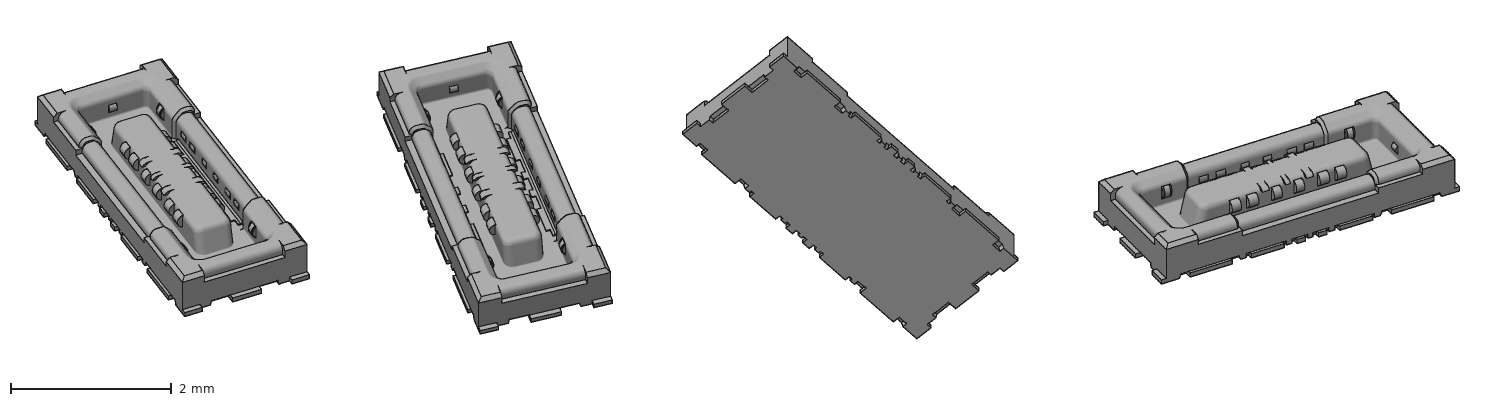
import cadquery as cq
import math

total_length = 4.25
total_width = 1.8
height = 0.55
half_length = 2.055
half_width = 0.863
top_chamfer = 0.05

floor_z = 0.12
wall_x = 1.695
wall_y = 0.49
wall_corner_radius = 0.072
lead_in = 0.12
lead_in_radius = 0.09
floor_fillet = 0.035

shoulder_radius = 0.1
end_ledge_z = 0.395
end_shoulder_x = 1.99
end_shoulder_half_width = 0.555
side_ledge_z = 0.425
side_shoulder_y = 0.8
side_shoulder_x = 1.6

rail_half_length = 0.97
cover_bevel = 0.04
rail_top_z = 0.49
rail_ledge_z = 0.35
rail_outer_y = 0.775
rail_inner_y = wall_y + cover_bevel
rail_inner_radius = 0.115

strip_half_length = 0.92
strip_inner_y = 0.468
strip_slope = 0.025
strip_height = 0.015
foot_inner_y = 0.412
foot_spans = ((0.1, 0.215), (0.435, 0.815))

tongue_top_z = 0.515
tongue_base_x = 1.285
tongue_top_x = 1.19
tongue_y = 0.255
tongue_corner_radius = 0.105
tongue_top_fillet = 0.1
tongue_base_fillet = 0.02

contact_spans = ((0.1, 0.215), (0.438, 0.575), (0.685, 0.815))
contact_z = (0.275, 0.46)
contact_bulge = 0.072
rail_contact_z = (0.265, 0.355)
rail_contact_bulge = 0.013
rib_positions_and_widths = ((-0.315, 0.1), (0, 0.07), (0.315, 0.1))
rib_flat_y = 0.2
rib_tip_y = 0.29
rib_radius = 0.1

side_latch_x = 1.305
side_latch_z = (0.235, 0.415)
side_latch_tiers = ((0.128, 0.04), (0.085, 0.05))
end_latch_half_width = 0.055
end_latch_z = (0.22, 0.335)
end_latch_bulge = 0.03

pad_height = 0.065
pad_inset = 0.128
side_pad_spans = ((0.095, 0.212), (0.395, 0.865), (1.135, 1.74))
end_pad_half_width = 0.2
corner_pad_inner_y = 0.62
side_notch_spans = ((0.035, 0.265), (0.345, 0.915))
notch_depth = 0.065
wedge_depth = 0.035
cover_notch_bottom = (0.995, 1.87)
cover_notch_top = (1.02, 1.845)
end_notch_bottom = 0.47
end_notch_top = 0.46

cut_clearance = 0.042
selection_margin = 0.042
selection_tolerance = 0.0005
contact_embed = 0.02


def arc_sag(radius):
    """Distance along each axis from a quarter round's middle to its two tangent lines."""
    return radius * (1 - math.sqrt(0.5))


def box(x0, x1, y0, y1, z0, z1):
    return cq.Workplane("XY").box(x1 - x0, y1 - y0, z1 - z0, centered=False).translate((x0, y0, z0))


def both_sides(solid):
    """The solid together with its mirror image across the XZ plane."""
    return solid.union(solid.mirror("XZ"))


def both_ends(solid):
    """The solid together with its mirror image across the YZ plane."""
    return solid.union(solid.mirror("YZ"))


def four_corners(solid):
    return both_ends(both_sides(solid))


def edges_at(solid, z, half_x, half_y):
    """Horizontal edges at height z inside a centred rectangle."""
    reach_x = half_x + selection_margin
    reach_y = half_y + selection_margin
    region = cq.selectors.BoxSelector(
        (-reach_x, -reach_y, z - selection_tolerance),
        (reach_x, reach_y, z + selection_tolerance),
        boundingbox=True,
    )
    return solid.edges(region)


def along_x(x0):
    """Sketch plane at x0 whose sketch axes are Y and Z; it extrudes toward +X."""
    return cq.Workplane("YZ", origin=(x0, 0, 0))


def bump(x0, x1, root_y, bulge, z_range):
    """Arc-faced contact that swells in Y from a wall at root_y."""
    embed = -math.copysign(contact_embed, bulge)
    z0, z1 = z_range
    return (
        along_x(x0)
        .moveTo(root_y + embed, z0)
        .lineTo(root_y, z0)
        .threePointArc((root_y + bulge, (z0 + z1) / 2), (root_y, z1))
        .lineTo(root_y + embed, z1)
        .close()
        .extrude(x1 - x0)
    )


def shoulder_cut(plane, depth, face, outside, ledge_z):
    """Tool leaving a ledge, a wall at `face` and a rounded shoulder."""
    arc_end = face - shoulder_radius
    arc_start_z = height - shoulder_radius
    sag = arc_sag(shoulder_radius)
    return (
        plane.moveTo(outside + cut_clearance, ledge_z)
        .lineTo(face, ledge_z)
        .lineTo(face, arc_start_z)
        .threePointArc((face - sag, height - sag), (arc_end, height))
        .lineTo(arc_end, height + cut_clearance)
        .lineTo(outside + cut_clearance, height + cut_clearance)
        .close()
        .extrude(depth)
    )


def make_housing():
    """Chamfered block with the filleted, funnel-topped cavity."""
    body = box(-half_length, half_length, -half_width, half_width, 0, height)
    body = body.faces(">Z").edges().chamfer(top_chamfer)

    cavity = (
        cq.Workplane("XY", origin=(0, 0, floor_z))
        .rect(2 * wall_x, 2 * wall_y)
        .extrude(height - floor_z)
        .edges("|Z")
        .fillet(wall_corner_radius)
    )
    body = body.cut(cavity)
    body = edges_at(body, height, wall_x, wall_y).chamfer(lead_in)
    body = edges_at(body, height - lead_in, wall_x, wall_y).fillet(lead_in_radius)
    body = edges_at(body, height, wall_x + lead_in, wall_y + lead_in).fillet(lead_in_radius)
    return edges_at(body, floor_z, wall_x, wall_y).fillet(floor_fillet)


def cut_shoulders(body):
    """Ledge and rounded shoulder along all four outer sides."""
    side = shoulder_cut(
        along_x(-side_shoulder_x), 2 * side_shoulder_x, side_shoulder_y, half_width, side_ledge_z
    )
    end_plane = cq.Workplane("XZ", origin=(0, end_shoulder_half_width, 0))
    end = shoulder_cut(
        end_plane, 2 * end_shoulder_half_width, end_shoulder_x, half_length, end_ledge_z
    )
    return body.cut(both_sides(side)).cut(both_ends(end))


def cover_profile(x, inset):
    """Wire of a corner cover's cross-section, shrunk by `inset`."""
    bend = math.radians(45)
    top = height - inset
    outer_y = side_shoulder_y - inset
    inner_y = wall_y + inset
    outer_radius = shoulder_radius - inset
    inner_radius = lead_in_radius - inset

    outer_center = (side_shoulder_y - shoulder_radius, height - shoulder_radius)
    tangent = lead_in_radius * math.tan(bend / 2)
    upper_center = (wall_y + lead_in + tangent, height - lead_in_radius)
    lower_center = (wall_y + lead_in_radius, height - lead_in - tangent)

    def on_round(center, radius, degrees):
        angle = math.radians(degrees)
        return (center[0] + radius * math.cos(angle), center[1] + radius * math.sin(angle))

    return (
        along_x(x)
        .moveTo(inner_y, floor_z)
        .lineTo(outer_y, floor_z)
        .lineTo(outer_y, outer_center[1])
        .threePointArc(on_round(outer_center, outer_radius, 45), (outer_center[0], top))
        .lineTo(upper_center[0], top)
        .threePointArc(
            on_round(upper_center, inner_radius, 112.5), on_round(upper_center, inner_radius, 135)
        )
        .lineTo(*on_round(lower_center, inner_radius, 135))
        .threePointArc(on_round(lower_center, inner_radius, 157.5), (inner_y, lower_center[1]))
        .close()
        .wire()
        .val()
    )


def make_rail():
    top_outer_y = rail_outer_y - shoulder_radius
    top_inner_y = rail_inner_y + rail_inner_radius
    outer_sag = arc_sag(shoulder_radius)
    inner_sag = arc_sag(rail_inner_radius)
    rail = (
        along_x(-rail_half_length)
        .moveTo(rail_inner_y, floor_z)
        .lineTo(half_width, floor_z)
        .lineTo(half_width, rail_ledge_z)
        .lineTo(rail_outer_y, rail_ledge_z)
        .lineTo(rail_outer_y, rail_top_z - shoulder_radius)
        .threePointArc((rail_outer_y - outer_sag, rail_top_z - outer_sag), (top_outer_y, rail_top_z))
        .lineTo(top_inner_y, rail_top_z)
        .threePointArc(
            (rail_inner_y + inner_sag, rail_top_z - inner_sag),
            (rail_inner_y, rail_top_z - rail_inner_radius),
        )
        .close()
        .extrude(2 * rail_half_length)
    )
    for x0, x1 in contact_spans:
        contact = bump(x0, x1, rail_inner_y, -rail_contact_bulge, rail_contact_z)
        rail = rail.union(both_ends(contact))
    return rail


def make_floor_strip():
    flat_y = rail_inner_y - strip_slope
    strip_z = floor_z + strip_height
    strip = (
        along_x(-strip_half_length)
        .moveTo(strip_inner_y, floor_z)
        .lineTo(rail_inner_y, floor_z)
        .lineTo(rail_inner_y, strip_z + strip_slope)
        .lineTo(flat_y, strip_z)
        .lineTo(strip_inner_y, strip_z)
        .close()
        .extrude(2 * strip_half_length)
    )
    for x0, x1 in foot_spans:
        strip = strip.union(both_ends(box(x0, x1, foot_inner_y, flat_y, floor_z, strip_z)))
    return strip


def replace_middle(body):
    """Swap the full-height walls between the corner covers for the lower rails."""
    cover_x = rail_half_length + cover_bevel
    body = body.cut(box(-cover_x, cover_x, -half_width, half_width, floor_z, height))
    bevelled_end = cq.Workplane(
        cq.Solid.makeLoft(
            [cover_profile(rail_half_length, cover_bevel), cover_profile(cover_x, 0)], True
        )
    )
    ledge = box(
        rail_half_length, cover_x, side_shoulder_y - shoulder_radius, half_width, floor_z, side_ledge_z
    )
    side = both_ends(bevelled_end.union(ledge)).union(make_rail()).union(make_floor_strip())
    return body.union(both_sides(side))


def add_tongue(body):
    """Straight-sided bar with sloping ends, blended into the floor."""
    tongue = (
        cq.Workplane("XZ", origin=(0, tongue_y, 0))
        .polyline([
            (-tongue_base_x, floor_z),
            (tongue_base_x, floor_z),
            (tongue_top_x, tongue_top_z),
            (-tongue_top_x, tongue_top_z),
        ])
        .close()
        .extrude(2 * tongue_y)
    )
    tongue = tongue.edges("not (|X or |Y)").fillet(tongue_corner_radius)
    tongue = tongue.faces(">Z").edges().fillet(tongue_top_fillet)
    body = body.union(tongue)
    return edges_at(body, floor_z, tongue_base_x, tongue_y).fillet(tongue_base_fillet)


def make_tongue_contacts():
    """Bulging contacts on the flanks and ribs over the upper edge, for one side."""
    def tip_drop(y):
        return rib_radius - math.sqrt(rib_radius**2 - (y - rib_flat_y) ** 2)

    tip_z = tongue_top_z - tip_drop(rib_tip_y)
    middle_y = (rib_flat_y + rib_tip_y) / 2
    contacts = cq.Workplane("XY")
    for center_x, width in rib_positions_and_widths:
        rib = (
            along_x(center_x - width / 2)
            .moveTo(0, tip_z)
            .lineTo(rib_tip_y, tip_z)
            .threePointArc((middle_y, tongue_top_z - tip_drop(middle_y)), (rib_flat_y, tongue_top_z))
            .lineTo(0, tongue_top_z)
            .close()
            .extrude(width)
        )
        contacts = contacts.union(rib)
    for x0, x1 in contact_spans:
        contacts = contacts.union(both_ends(bump(x0, x1, tongue_y, contact_bulge, contact_z)))
    return contacts


def make_latches():
    end = bump(-end_latch_half_width, end_latch_half_width, wall_x, -end_latch_bulge, end_latch_z)
    end = end.rotate((0, 0, 0), (0, 0, 1), -90)
    latches = both_ends(end)
    for width, bulge in side_latch_tiers:
        x0 = side_latch_x - width / 2
        tier = bump(x0, x0 + width, wall_y, -bulge, side_latch_z)
        latches = latches.union(four_corners(tier))
    return latches


def cut_notches(body):
    wedge_inner_y = half_width - wedge_depth
    cover_notch = (
        cq.Workplane("XZ", origin=(0, half_width, 0))
        .polyline([
            (cover_notch_bottom[0], 0),
            (cover_notch_top[0], pad_height),
            (cover_notch_top[1], pad_height),
            (cover_notch_bottom[1], 0),
        ])
        .close()
        .extrude(notch_depth)
    )
    notches = four_corners(cover_notch)
    for x0, x1 in side_notch_spans:
        wedge = (
            along_x(x0)
            .polyline([(wedge_inner_y, 0), (half_width, 0), (half_width, pad_height)])
            .close()
            .extrude(x1 - x0)
        )
        notches = notches.union(four_corners(wedge))
    end_notch = (
        cq.Workplane("YZ", origin=(half_length, 0, 0))
        .polyline([
            (-end_notch_bottom, 0),
            (-end_notch_top, pad_height),
            (end_notch_top, pad_height),
            (end_notch_bottom, 0),
        ])
        .close()
        .extrude(-notch_depth)
    )
    return body.cut(notches.union(both_ends(end_notch)))


def make_pads():
    outer_x = total_length / 2
    outer_y = total_width / 2
    inner_x = half_length - pad_inset
    pads = both_ends(box(inner_x, outer_x, -end_pad_half_width, end_pad_half_width, 0, pad_height))
    pads = pads.union(
        four_corners(box(inner_x, outer_x, corner_pad_inner_y, half_width, 0, pad_height))
    )
    for x0, x1 in side_pad_spans:
        pad = box(x0, x1, half_width - pad_inset, outer_y, 0, pad_height)
        pads = pads.union(four_corners(pad))
    return pads


housing = cut_shoulders(make_housing())
housing = add_tongue(replace_middle(housing))
housing = housing.union(both_sides(make_tongue_contacts())).union(make_latches())
result = cut_notches(housing).union(make_pads())